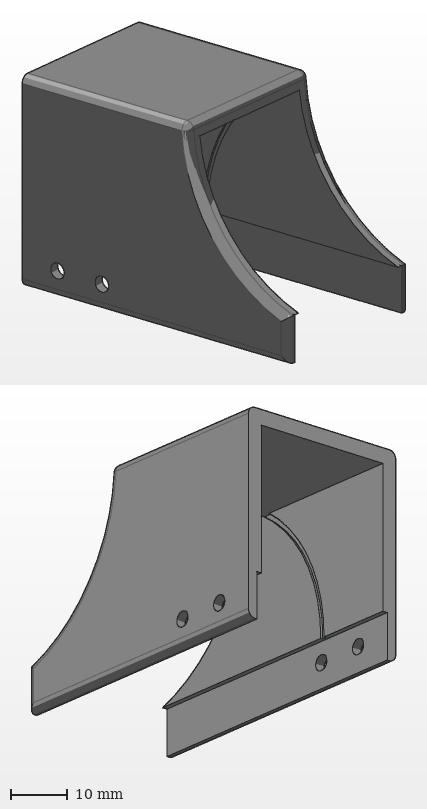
import cadquery as cq
import math

length = 60.0
width = 34.0
height = 40.0

wall = 3.0
lower_wall = 2.0
ledge_height = 9.0

roof_length = 37.5
nose_height = 9.0
cutout_radius = 33.6

edge_radius = 1.5

hole_diameter = 3.0
hole_height = 5.0
hole_positions = (8.0, 18.0)

groove_center_x = 49.6
groove_outer_radius = cutout_radius
groove_width = 0.9
groove_depth = 0.5


def side_profile():
    """Outer silhouette in XZ, with the arc bulging into the part."""
    chord_x = length - roof_length
    chord_z = nose_height - height
    half_chord = math.hypot(chord_x, chord_z) / 2
    sagitta = cutout_radius - math.sqrt(cutout_radius**2 - half_chord**2)
    arc_mid = (
        (roof_length + length) / 2 + sagitta * chord_z / (2 * half_chord),
        (height + nose_height) / 2 - sagitta * chord_x / (2 * half_chord),
    )
    return (
        cq.Workplane("XZ", origin=(0, width / 2, 0))
        .lineTo(length, 0)
        .lineTo(length, nose_height)
        .threePointArc(arc_mid, (roof_length, height))
        .lineTo(0, height)
        .close()
    )


def rounded_body():
    """Solid block whose outer edges are rounded everywhere but at the flat back."""
    body = side_profile().extrude(width)
    side_edges = body.faces("<Y or >Y").edges("not <X")
    roof_front_edge = body.faces(">Z").edges(">X")
    return side_edges.add(roof_front_edge).fillet(edge_radius)


def channel(half_width, top_z):
    """Full-length cutter, open at the bottom."""
    return cq.Workplane("XY").box(length, 2 * half_width, top_z, centered=(False, True, False))


def cross_holes():
    return (
        cq.Workplane("XZ", origin=(0, width / 2, 0))
        .pushPoints([(x, hole_height) for x in hole_positions])
        .circle(hole_diameter / 2)
        .extrude(width)
    )


def arc_grooves():
    """Ring reaching into both inner faces, limited to the thick part of the walls."""
    cut_width = width - 2 * wall + 2 * groove_depth
    ring = (
        cq.Workplane("XZ", origin=(groove_center_x, cut_width / 2, ledge_height))
        .circle(groove_outer_radius)
        .circle(groove_outer_radius - groove_width)
        .extrude(cut_width)
    )
    thick_band = channel(width / 2, height - wall)
    return ring.intersect(thick_band)


result = (
    rounded_body()
    .cut(channel(width / 2 - wall, height - wall))
    .cut(channel(width / 2 - lower_wall, ledge_height))
    .cut(cross_holes())
    .cut(arc_grooves())
)